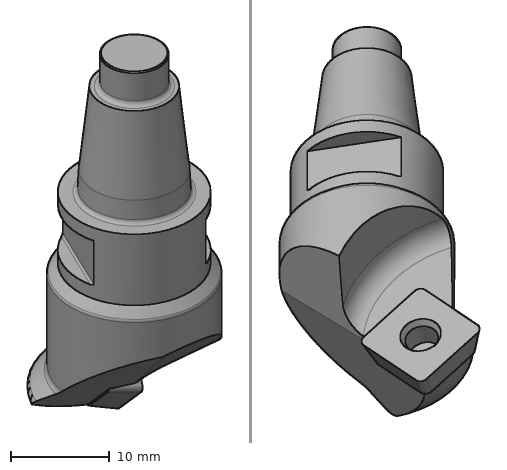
import cadquery as cq
import math

TOTAL_HEIGHT = 47.0
PILOT_RADIUS = 7.0 / 2
PILOT_CHAMFER = 0.15
PILOT_FILLET = 0.55
TAPER_TOP_Z = 42.95
TAPER_TOP_RADIUS = 4.55
TAPER_BOTTOM_Z = 32.8
TAPER_BOTTOM_RADIUS = 5.65
NECK_RADIUS = 11.5 / 2
NECK_FILLET = 0.45
COLLAR_TOP_Z = 30.05
COLLAR_RADIUS = 15.5 / 2
BODY_TOP_Z = 21.35
BODY_RADIUS = 17.75 / 2
SHOULDER_ROUND = 0.4

FLAT_DISTANCE = 6.0
FLAT_BOTTOM_Z = 22.95
FLAT_HEIGHT = 5.5
FLAT_FILLET = 0.25

RIM_CENTRE_Z = 6.3
RIM_RADIUS = 10.85
RIM_ROUND = 0.8
FLARE_FILLET = 0.95
NOSE_BOTTOM_Z = 0.25

INSERT_X = -5.65
INSERT_Z = 6.05
INSERT_SIDE = 9.02
INSERT_CORNER = 0.8
INSERT_THICKNESS = 3.3
INSERT_RELIEF = 12.0
INSERT_TILT = 5.0
SCREW_HOLE_DIAMETER = 3.4
SCREW_SINK_DIAMETER = 4.2
SCREW_SINK_ANGLE = 60.0

FLUTE_DEPTH_BELOW_FACE = 0.38
FLUTE_FILLET = 2.15
FLUTE_RADIUS = 14.4
FLUTE_X = -11.8
FLUTE_Z = 5.6
RELIEF_Z = 6.6
BACK_RELIEF_ANGLE = 14.0

CLEAR = 28.2

BEND_SETBACK = math.tan(math.radians(45.0 / 2))
DIAGONAL = math.sqrt(0.5)


def tilt(shape):
    """Lean a shape back about the lower left edge of the insert's cutting face."""
    edge_drop = INSERT_SIDE / 2 * DIAGONAL
    start = (INSERT_X - edge_drop, 0, INSERT_Z - edge_drop)
    end = (start[0] + 0.45, 0, start[2] - 0.45)
    return shape.rotate(start, end, -INSERT_TILT)


def make_turned_body():
    """Shank, collar, body and flared head as one revolved profile."""
    rim_centre = RIM_RADIUS - RIM_ROUND
    rim_reach = RIM_ROUND * DIAGONAL
    rim_tip = rim_centre + RIM_ROUND / DIAGONAL
    flare_z = RIM_CENTRE_Z + rim_tip - BODY_RADIUS
    flare_setback = FLARE_FILLET * BEND_SETBACK
    flare_low = flare_setback * DIAGONAL
    shoulder_setback = SHOULDER_ROUND * BEND_SETBACK
    shoulder_z = BODY_TOP_Z - (BODY_RADIUS - COLLAR_RADIUS)
    pilot_fillet_sag = PILOT_FILLET * (1 - DIAGONAL)
    neck_fillet_sag = NECK_FILLET * (1 - DIAGONAL)
    shoulder_low = shoulder_setback * DIAGONAL

    profile = (
        cq.Workplane("XZ")
        .moveTo(0, TOTAL_HEIGHT)
        .lineTo(PILOT_RADIUS - PILOT_CHAMFER, TOTAL_HEIGHT)
        .lineTo(PILOT_RADIUS, TOTAL_HEIGHT - PILOT_CHAMFER)
        .lineTo(PILOT_RADIUS, TAPER_TOP_Z + PILOT_FILLET)
        .threePointArc(
            (PILOT_RADIUS + pilot_fillet_sag, TAPER_TOP_Z + pilot_fillet_sag),
            (PILOT_RADIUS + PILOT_FILLET, TAPER_TOP_Z),
        )
        .lineTo(TAPER_TOP_RADIUS, TAPER_TOP_Z)
        .lineTo(TAPER_BOTTOM_RADIUS, TAPER_BOTTOM_Z)
        .lineTo(NECK_RADIUS, COLLAR_TOP_Z + NECK_FILLET)
        .threePointArc(
            (NECK_RADIUS + neck_fillet_sag, COLLAR_TOP_Z + neck_fillet_sag),
            (NECK_RADIUS + NECK_FILLET, COLLAR_TOP_Z),
        )
        .lineTo(COLLAR_RADIUS, COLLAR_TOP_Z)
        .lineTo(COLLAR_RADIUS, BODY_TOP_Z)
        .lineTo(BODY_RADIUS - shoulder_low, shoulder_z + shoulder_low)
        .tangentArcPoint((BODY_RADIUS, shoulder_z - shoulder_setback), relative=False)
        .lineTo(BODY_RADIUS, flare_z + flare_setback)
        .tangentArcPoint((BODY_RADIUS + flare_low, flare_z - flare_low), relative=False)
        .lineTo(rim_centre + rim_reach, RIM_CENTRE_Z + rim_reach)
        .threePointArc((RIM_RADIUS, RIM_CENTRE_Z), (rim_centre + rim_reach, RIM_CENTRE_Z - rim_reach))
        .lineTo(NOSE_BOTTOM_Z - RIM_CENTRE_Z + rim_tip, NOSE_BOTTOM_Z)
        .lineTo(0, NOSE_BOTTOM_Z)
        .close()
    )
    return profile.revolve(360, (0, 0, 0), (0, 1, 0))


def make_flat_cutters():
    """Two blocks that leave parallel flats on the collar, rounded at the foot."""
    block = (
        cq.Workplane("XY")
        .box(2 * COLLAR_RADIUS, COLLAR_RADIUS, FLAT_HEIGHT, centered=(True, False, False))
        .translate((0, FLAT_DISTANCE, FLAT_BOTTOM_Z))
        .faces("<Y").edges("<Z").fillet(FLAT_FILLET)
    )
    return [block, block.rotate((0, 0, 0), (0, 0, 1), 180)]


def make_relief_cutters():
    """Remove everything under the 45 degree end face, which rises further behind Y = 0."""
    wedge = (
        cq.Workplane("XZ", origin=(0, CLEAR, 0))
        .moveTo(-CLEAR, RELIEF_Z - CLEAR)
        .lineTo(CLEAR, RELIEF_Z + CLEAR)
        .lineTo(CLEAR, RELIEF_Z - CLEAR)
        .close()
        .extrude(CLEAR)
    )
    straight = wedge.translate((0, -CLEAR, 0)).union(wedge)
    raised = wedge.rotate((0, 0, RELIEF_Z), (0.45, 0, RELIEF_Z + 0.45), BACK_RELIEF_ANGLE)
    return [straight, raised]


def make_flute_cutter():
    """Chip flute: a large round cutter leaves a flat floor and a curved roof, joined by a fillet."""
    return (
        cq.Workplane("XZ", origin=(FLUTE_X, -FLUTE_DEPTH_BELOW_FACE, FLUTE_Z))
        .circle(FLUTE_RADIUS)
        .extrude(-CLEAR)
        .faces("<Y").edges().fillet(FLUTE_FILLET)
    )


def make_insert_blank():
    """Plate without its screw hole; the same shape is the pocket in the holder."""
    return (
        cq.Workplane("XZ", origin=(INSERT_X, 0, INSERT_Z))
        .transformed(rotate=(0, 0, 45))
        .rect(INSERT_SIDE, INSERT_SIDE)
        .extrude(INSERT_THICKNESS, taper=INSERT_RELIEF)
        .edges("not #Y").fillet(INSERT_CORNER)
    )


def make_insert():
    """Square plate with a countersunk screw hole through its cutting face."""
    plate = (
        make_insert_blank()
        .faces(">Y").workplane(origin=(INSERT_X, 0, INSERT_Z))
        .cskHole(SCREW_HOLE_DIAMETER, SCREW_SINK_DIAMETER, SCREW_SINK_ANGLE)
    )
    return tilt(plate)


def make_holder():
    """Turned body with flats, end relief, chip flute and the pocket that seats the insert."""
    body = make_turned_body()
    for cutter in make_flat_cutters() + make_relief_cutters():
        body = body.cut(cutter)
    return body.cut(tilt(make_flute_cutter())).cut(tilt(make_insert_blank()))


holder = make_holder()
insert = make_insert()
result = cq.Compound.makeCompound([*holder.solids().vals(), *insert.solids().vals()])